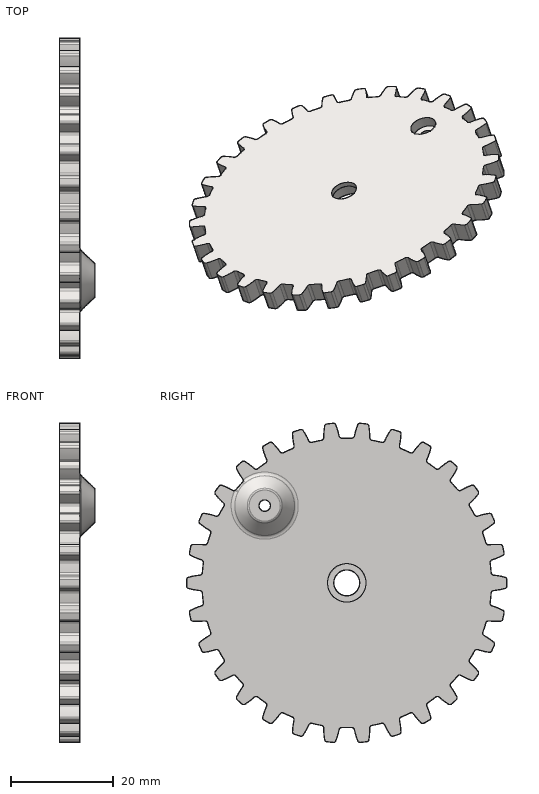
import cadquery as cq
import math

tooth_count = 30
tip_radius = 31.25
root_radius = 28.25
disc_thickness = 4.0

bore_diameter = 5.0
bore_lip_thickness = 1.0
rear_recess_diameter = 7.5

root_half_width = 1.55
middle_half_width = 1.4
tip_half_width = 1.0
tooth_edge_fillet = 0.5

boss_y = -16.0
boss_z = 15.05
boss_height = 3.0
boss_base_radius = 6.1
boss_top_radius = 3.25
boss_foot_fillet = 1.0
boss_rim_fillet = 0.5
screw_hole_diameter = 2.2
counterbore_diameter = 5.0
counterbore_depth = 2.1


def point_on_tooth(angle, radius, half_width):
    """Point at a radius, offset sideways from the tooth axis that stands at the given angle."""
    polar_angle = angle + math.asin(half_width / radius)
    return (radius * math.cos(polar_angle), radius * math.sin(polar_angle))


def gear_outline():
    """Closed tooth outline whose flanks, tips and roots are all arcs."""
    pitch_angle = 2 * math.pi / tooth_count
    middle_radius = (root_radius + tip_radius) / 2
    outline = cq.Workplane("YZ").moveTo(*point_on_tooth(0, root_radius, -root_half_width))
    for index in range(tooth_count):
        angle = index * pitch_angle
        outline = (
            outline
            .threePointArc(
                point_on_tooth(angle, middle_radius, -middle_half_width),
                point_on_tooth(angle, tip_radius, -tip_half_width),
            )
            .threePointArc(
                point_on_tooth(angle, tip_radius, 0),
                point_on_tooth(angle, tip_radius, tip_half_width),
            )
            .threePointArc(
                point_on_tooth(angle, middle_radius, middle_half_width),
                point_on_tooth(angle, root_radius, root_half_width),
            )
            .threePointArc(
                point_on_tooth(angle + pitch_angle / 2, root_radius, 0),
                point_on_tooth(angle + pitch_angle, root_radius, -root_half_width),
            )
        )
    return outline.close()


def gear_disc():
    """Toothed disc with rounded tooth tips and roots."""
    return gear_outline().extrude(disc_thickness).edges("|X").fillet(tooth_edge_fillet)


def add_boss(body):
    """Add the cone to the +X face, then round its foot and its top rim."""
    cone = cq.Workplane(
        cq.Solid.makeCone(
            boss_base_radius,
            boss_top_radius,
            boss_height,
            pnt=cq.Vector(disc_thickness, boss_y, boss_z),
            dir=cq.Vector(1, 0, 0),
        )
    )
    rounded_foot = body.union(cone).faces("%CONE").edges("<X").fillet(boss_foot_fillet)
    return rounded_foot.faces(">X").edges().fillet(boss_rim_fillet)


def hole_cutter(diameter, start, end, y=0.0, z=0.0):
    """Cylinder along X between two X positions."""
    return cq.Workplane("YZ", origin=(start, y, z)).circle(diameter / 2).extrude(end - start)


total_thickness = disc_thickness + boss_height

result = (
    add_boss(gear_disc())
    .cut(hole_cutter(bore_diameter, 0, disc_thickness))
    .cut(hole_cutter(rear_recess_diameter, bore_lip_thickness, disc_thickness))
    .cut(hole_cutter(screw_hole_diameter, 0, total_thickness, boss_y, boss_z))
    .cut(hole_cutter(counterbore_diameter, 0, counterbore_depth, boss_y, boss_z))
)